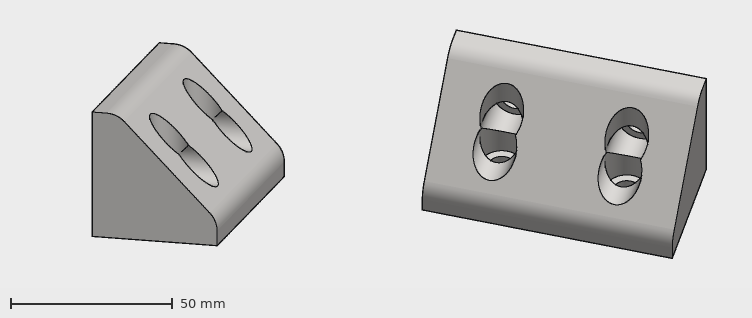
import cadquery as cq

leg = 40.0
length = 80.0

corner_land = 8.0
corner_radius = 8.0

hole_diameter = 8.5
counterbore_diameter = 13.5
hole_offset = leg / 2
seat_height = 5.0
row_spacing = 40.0
row_positions = (-row_spacing / 2, row_spacing / 2)


def make_body():
    """Right-angled wedge with its two slope corners rounded."""
    outline = [
        (0, 0),
        (leg, 0),
        (leg, corner_land),
        (corner_land, leg),
        (0, leg),
    ]
    wedge = cq.Workplane("XZ").polyline(outline).close().extrude(length / 2, both=True)
    slope_corners = cq.selectors.BoxSelector(
        (corner_land / 2, -length, corner_land / 2), (2 * leg, length, 2 * leg)
    )
    return wedge.edges("|Y").edges(slope_corners).fillet(corner_radius)


def counterbored_hole(start, direction):
    """Screw hole from a leg face, widened from the seat out through the slope."""
    origin = cq.Vector(*start)
    axis = cq.Vector(*direction)
    seat = origin + axis * seat_height
    shank = cq.Solid.makeCylinder(hole_diameter / 2, leg, origin, axis)
    head = cq.Solid.makeCylinder(counterbore_diameter / 2, leg, seat, axis)
    return shank.fuse(head)


result = make_body()
for y in row_positions:
    vertical_hole = counterbored_hole((hole_offset, y, 0), (0, 0, 1))
    horizontal_hole = counterbored_hole((0, y, hole_offset), (1, 0, 0))
    result = result.cut(vertical_hole).cut(horizontal_hole)